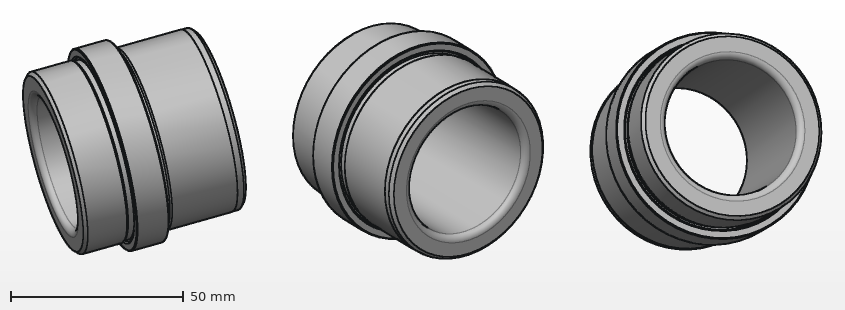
import cadquery as cq

length = 50.0
flange_radius = 30.5
flange_width = 10.0
flange_chamfer = 0.3
front_length = 15.0

body_radius = 27.5
pilot_radius = 27.45
pilot_length = 3.0
end_chamfer = 1.05

bore_radius = 20.0
bore_rounding = 2.0

groove_radius = 27.1
groove_width = 1.95
groove_slope = 0.55
recess_radius = 28.2
recess_floor_radius = 27.7
recess_depth = 0.4

front = -length / 2
rear = length / 2
flange_front = front + front_length
flange_rear = flange_front + flange_width


def undercut(face, outward):
    """Profile points from the body surface to the flange rim; outward is the way the face looks."""
    return [
        (body_radius, face + outward * groove_width),
        (groove_radius, face + outward * (groove_width - groove_slope)),
        (groove_radius, face - outward * recess_depth),
        (recess_floor_radius, face - outward * recess_depth),
        (recess_radius, face),
        (flange_radius - flange_chamfer, face),
        (flange_radius, face - outward * flange_chamfer),
    ]


outer_points = [
    (body_radius - end_chamfer, front),
    (body_radius, front + end_chamfer),
    *undercut(flange_front, -1),
    *reversed(undercut(flange_rear, 1)),
    (body_radius, rear - pilot_length),
    (pilot_radius, rear - pilot_length),
    (pilot_radius, rear - end_chamfer),
    (pilot_radius - end_chamfer, rear),
]

mouth_radius = bore_radius + bore_rounding
section = (
    cq.Workplane("XY")
    .moveTo(mouth_radius, front)
    .polyline(outer_points, includeCurrent=True)
    .lineTo(mouth_radius, rear)
    .radiusArc((bore_radius, rear - bore_rounding), -bore_rounding)
    .lineTo(bore_radius, front + bore_rounding)
    .radiusArc((mouth_radius, front), -bore_rounding)
    .close()
)

result = section.revolve(360, (0, 0, 0), (0, 1, 0))